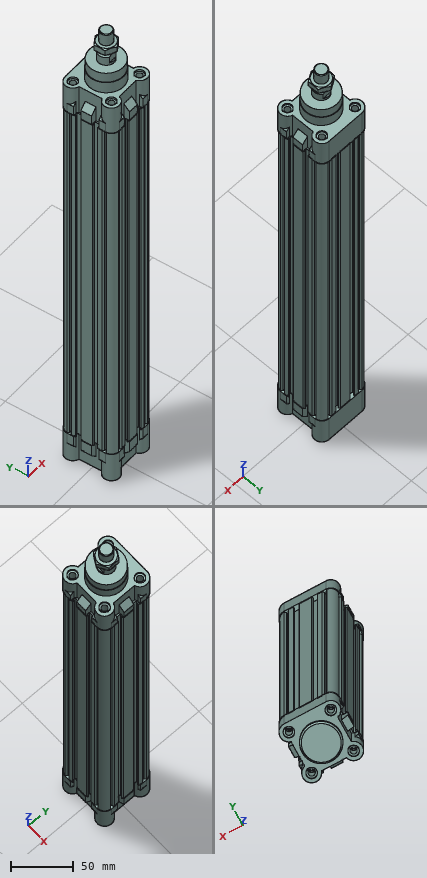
import cadquery as cq
import math

width = 54.0
half_width = width / 2
boss_diameter = 16.0
boss_offset = half_width - boss_diameter / 2

bottom_cap_base = 4.5
tube_bottom = 34.5
tube_top = 399.5
top_cap_top = 428.5
collar_step = 440.0
collar_top = 450.0
nut_bottom = 463.0
rod_tip = 483

cap_face = 21.3
rib_rise = half_width - cap_face
top_rib_length = 10.0
bottom_rib_length = 11.0
center_rib_width = 10.5
side_rib_inner = 12.5
collar_diameter = 35.0
collar_upper_diameter = 34
bottom_collar_chamfer = 1.5

screw_counterbore_diameter = 9.0
screw_counterbore_depth = 2.0
screw_hole_diameter = 6.0
screw_hole_depth = 14.5
screw_core_diameter = 5
screw_core_depth = 5
screw_core_tip = screw_core_diameter / 2 * math.tan(math.pi / 6)

tube_width = 53
tube_half_width = tube_width / 2
tube_corner_radius = 7.5
sensor_slot_center = 8.5
sensor_slot_opening = 4.5
sensor_slot_width = 7.2
sensor_slot_lip = 1.5
sensor_slot_depth = 4.0
sensor_slot_chamfer = 1.0
groove_center = 17.5
groove_width = 4.5
groove_floor_width = 1.5
groove_depth = 3.5
groove_chamfer = (groove_width - groove_floor_width) / 2

rod_diameter = 16.0
rod_flats = 13.0
flats_bottom = 452.5
rod_shoulder = 460.5
thread_diameter = 12.0
thread_chamfer = 0.72
neck_diameter = 11.5
shoulder_chamfer = 1.5

nut_flats = 19.0
nut_height = 7.2
nut_face_diameter = 18.0
nut_corner_diameter = nut_flats / math.cos(math.pi / 6)
nut_chamfer_slope = math.tan(math.pi / 6)


def cylinder(diameter, bottom, top):
    return cq.Workplane("XY").workplane(offset=bottom).circle(diameter / 2).extrude(top - bottom)


def block(x_min, x_max, y_min, y_max, z_min, z_max):
    size = (x_max - x_min, y_max - y_min, z_max - z_min)
    return cq.Workplane("XY").box(*size, centered=False).translate((x_min, y_min, z_min))


def turned(shape, angle):
    return shape.rotate((0, 0, 0), (0, 0, 1), angle)


def boss_points():
    return [(sx * boss_offset, sy * boss_offset) for sx in (-1, 1) for sy in (-1, 1)]


def cap_body(bottom, top):
    """Square core flush on the +Y side, with a round boss at each corner."""
    cap = block(-cap_face, cap_face, -cap_face, cap_face, bottom, top)
    cap = cap.union(block(-boss_offset, boss_offset, 0, half_width, bottom, top))
    bosses = (
        cq.Workplane("XY").workplane(offset=bottom)
        .pushPoints(boss_points()).circle(boss_diameter / 2).extrude(top - bottom)
    )
    return cap.union(bosses)


def ramp_rib(x_min, x_max, root, length, direction):
    """Rib on the -Y face, flush with the bosses, ending in a 45 degree ramp."""
    end = root + direction * length
    outline = [
        (-cap_face, root),
        (-half_width, root),
        (-half_width, end),
        (-cap_face, end + direction * rib_rise),
    ]
    return cq.Workplane("YZ").workplane(offset=x_min).polyline(outline).close().extrude(x_max - x_min)


def cap_ribs(root, length, direction):
    """Three ribs on each of the -X, -Y and +X faces."""
    spans = [
        (-boss_offset, -side_rib_inner),
        (-center_rib_width / 2, center_rib_width / 2),
        (side_rib_inner, boss_offset),
    ]
    ribs = [ramp_rib(start, end, root, length, direction) for start, end in spans]
    return [turned(rib, angle) for rib in ribs for angle in (-90, 0, 90)]


def screw_hole():
    """Counterbored hole pointing down from the origin, with a thinner core ending in a cone."""
    core_bottom = screw_hole_depth + screw_core_depth
    core_radius = screw_core_diameter / 2
    outline = [
        (0, 0),
        (screw_counterbore_diameter / 2, 0),
        (screw_counterbore_diameter / 2, -screw_counterbore_depth),
        (screw_hole_diameter / 2, -screw_counterbore_depth),
        (screw_hole_diameter / 2, -screw_hole_depth),
        (core_radius, -screw_hole_depth),
        (core_radius, -core_bottom),
        (0, -core_bottom - screw_core_tip),
    ]
    return cq.Workplane("XZ").polyline(outline).close().revolve(360, (0, 0), (0, 1))


def tube_cutter(outline):
    """Full-length cutter for the -Y side, from (x, depth below the surface) points."""
    points = [(x, depth - tube_half_width) for x, depth in outline]
    profile = cq.Workplane("XY").workplane(offset=tube_bottom).polyline(points).close()
    return profile.extrude(tube_top - tube_bottom)


def sensor_slot():
    """T-slot whose lip toward the middle of the side is chamfered."""
    mouth_inner = sensor_slot_center - sensor_slot_opening / 2
    mouth_outer = sensor_slot_center + sensor_slot_opening / 2
    cavity_inner = sensor_slot_center - sensor_slot_width / 2
    cavity_outer = sensor_slot_center + sensor_slot_width / 2
    return tube_cutter([
        (mouth_inner - sensor_slot_chamfer, 0),
        (mouth_inner, sensor_slot_chamfer),
        (mouth_inner, sensor_slot_lip),
        (cavity_inner, sensor_slot_lip),
        (cavity_inner, sensor_slot_depth),
        (cavity_outer, sensor_slot_depth),
        (cavity_outer, sensor_slot_lip),
        (mouth_outer, sensor_slot_lip),
        (mouth_outer, 0),
    ])


def edge_groove():
    """Narrow groove with both edges widely chamfered."""
    half_mouth = groove_width / 2
    half_floor = groove_floor_width / 2
    return tube_cutter([
        (groove_center - half_mouth, 0),
        (groove_center - half_floor, groove_chamfer),
        (groove_center - half_floor, groove_depth),
        (groove_center + half_floor, groove_depth),
        (groove_center + half_floor, groove_chamfer),
        (groove_center + half_mouth, 0),
    ])


def make_tube():
    tube = block(
        -tube_half_width, tube_half_width, -tube_half_width, tube_half_width, tube_bottom, tube_top
    )
    tube = tube.edges("|Z").fillet(tube_corner_radius)
    for cutter in (sensor_slot(), edge_groove()):
        for side_cutter in (cutter, cutter.mirror("YZ")):
            for quarter in range(4):
                tube = tube.cut(turned(side_cutter, 90 * quarter))
    return tube


def make_housing():
    housing = make_tube()
    housing = housing.union(cap_body(tube_top, top_cap_top))
    housing = housing.union(cap_body(bottom_cap_base, tube_bottom))
    for rib in cap_ribs(tube_top, top_rib_length, 1):
        housing = housing.union(rib)
    for rib in cap_ribs(tube_bottom, bottom_rib_length, -1):
        housing = housing.union(rib)

    housing = housing.union(cylinder(collar_diameter, top_cap_top, collar_step))
    housing = housing.union(cylinder(collar_upper_diameter, collar_step, collar_top))
    bottom_collar = cylinder(collar_diameter, 0, bottom_cap_base)
    housing = housing.union(bottom_collar.faces("<Z").chamfer(bottom_collar_chamfer))

    upper_hole = screw_hole()
    lower_hole = upper_hole.mirror("XY")
    for x, y in boss_points():
        housing = housing.cut(upper_hole.translate((x, y, top_cap_top)))
        housing = housing.cut(lower_hole.translate((x, y, bottom_cap_base)))

    return housing.cut(cylinder(rod_diameter, tube_top, collar_top))


def make_rod():
    shank = cylinder(rod_diameter, tube_top, rod_shoulder).faces(">Z").chamfer(shoulder_chamfer)
    flat_cutter = block(
        -rod_diameter, rod_diameter, rod_flats / 2, rod_diameter, flats_bottom, rod_shoulder
    )
    for angle in (0, 180):
        shank = shank.cut(turned(flat_cutter, angle))
    neck = cylinder(neck_diameter, rod_shoulder, nut_bottom)
    thread = cylinder(thread_diameter, nut_bottom, rod_tip).faces(">Z").chamfer(thread_chamfer)
    return shank.union(neck).union(thread)


def make_nut():
    """Hexagon with corners along Y, both ends turned to a 30 degree chamfer."""
    hexagon = turned(cq.Workplane("XY").polygon(6, nut_corner_diameter).extrude(nut_height), 90)
    corner_radius = nut_corner_diameter / 2
    face_radius = nut_face_diameter / 2
    drop = (corner_radius - face_radius) * nut_chamfer_slope
    outline = [
        (0, 0),
        (face_radius, 0),
        (corner_radius, drop),
        (corner_radius, nut_height - drop),
        (face_radius, nut_height),
        (0, nut_height),
    ]
    turned_blank = cq.Workplane("XZ").polyline(outline).close().revolve(360, (0, 0), (0, 1))
    nut = hexagon.intersect(turned_blank)
    return nut.translate((0, 0, nut_bottom)).cut(cylinder(thread_diameter, nut_bottom, rod_tip))


housing = make_housing()
piston_rod = make_rod()
lock_nut = make_nut()

result = cq.Compound.makeCompound([housing.val(), piston_rod.val(), lock_nut.val()])